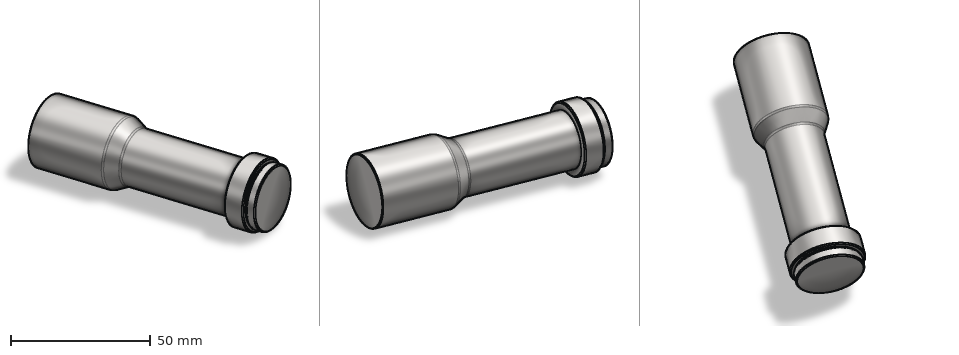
import cadquery as cq
import math

total_length = 94.8
head_diameter = 28.0
head_radius = head_diameter / 2
shank_radius = 11.0
groove_radius = 12.2
end_disc_radius = 12.7

taper_start = 31.4
flange_start = 82.6
flange_end = 90.5
groove_end = 91.4

taper_angle = 28.0
taper_blend_radius = 1.9
edge_margin = 0.95
head_chamfer = 0.4
edge_chamfer = 0.5


def disc(start, end, radius):
    """Cylinder on the X axis between two positions."""
    return cq.Workplane("YZ").workplane(offset=start).circle(radius).extrude(end - start)


def head_and_shank():
    """Head and shank joined by a cone with a rounded edge at each end."""
    taper_length = (head_radius - shank_radius) / math.tan(math.radians(taper_angle))
    taper_end = taper_start + taper_length
    body = (
        cq.Workplane("XY")
        .polyline([
            (0, 0),
            (0, head_radius),
            (taper_start, head_radius),
            (taper_end, shank_radius),
            (flange_start, shank_radius),
            (flange_start, 0),
        ])
        .close()
        .revolve(360, (0, 0, 0), (1, 0, 0))
    )
    body = body.faces("<X").chamfer(head_chamfer)
    taper_edges = cq.selectors.BoxSelector(
        (taper_start - edge_margin, -head_radius, -head_radius),
        (taper_end + edge_margin, head_radius, head_radius),
    )
    return body.edges(taper_edges).edges("%CIRCLE").fillet(taper_blend_radius)


flange = disc(flange_start, flange_end, head_radius).edges("%CIRCLE").chamfer(edge_chamfer)
groove = disc(flange_end, groove_end, groove_radius)
end_disc = disc(groove_end, total_length, end_disc_radius).faces(">X").chamfer(edge_chamfer)

result = head_and_shank().union(flange).union(groove).union(end_disc)